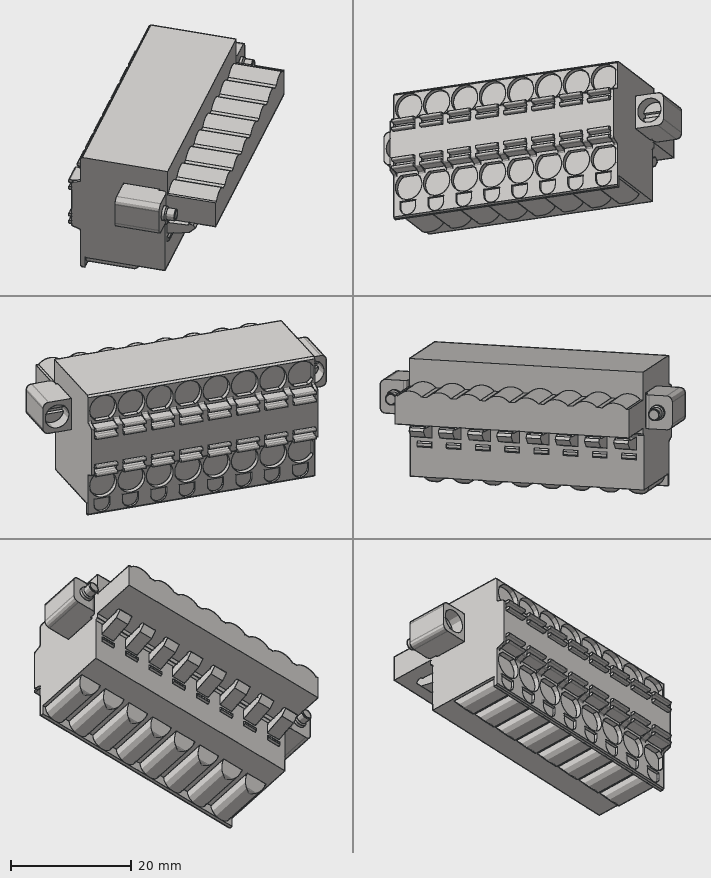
import cadquery as cq
import math

pitch = 5.08
pole_count = 8
housing_width = pole_count * pitch
housing_height = 22.1
housing_depth = 15.15
pole_centres = [(i - (pole_count - 1) / 2) * pitch for i in range(pole_count)]

top_edge_chamfer = 0.35
lip_edge_chamfer = 0.25
lip_depth = 0.77
floor_z = 2.0
lower_rear_x = 14.7
rear_step_z = 11.6
rear_step_chamfer = 0.35
panel_projection = 1.5
panel_top_z = 17.2
panel_bottom_z = 7.5
panel_slope = 0.5
panel_corner_radius = 0.25

tab_width = 3.9
tab_top_z = 16.8
tab_bottom_z = 7.95
prong_thickness = 0.6
prong_reach = 0.75
prong_tip = 0.25
groove_depth = 0.8
groove_round = 0.5
prong_pairs = (
    (tab_top_z - prong_thickness / 2, 15.1),
    (9.7, tab_bottom_z + prong_thickness / 2),
)

funnel_radius = 2.4
funnel_depth = 0.95
funnel_offset_y = -0.17
funnel_side_margin = 0.3
upper_funnel_z = 19.3
upper_funnel_flat_z = 17.25
lower_funnel_z = 5.4
lower_funnel_flat_z = 7.4
slot_radius = 1.42
slot_centre_z = 1.77
slot_top_z = 2.82
slot_depth = 0.5

rib_radius = floor_z
rib_end_x = 8.7
rib_run_out_x = 10.35
rib_nose_radius = 0.8

nose_end_x = 23.47
nose_bottom_z = 12.55
nose_top_z = 18.3
nose_scallop_rise = 0.91
nose_scallop_chord = 4.15

flange_width = pitch
flange_front_x = 7.5
flange_round = 1.0
flange_relief_x = 13.7
flange_relief_gap = 0.3
flange_inner_round = 0.7
screw_z = (nose_bottom_z + nose_top_z) / 2
screw_y = housing_width / 2 + flange_width / 2
screw_hole_radius = 2.1
screw_hole_depth = 2.3
driver_slot_width = 0.86
driver_slot_depth = 0.8
collar_radius = 1.25
collar_length = 0.75
collar_chamfer = 0.25
shank_radius = 1.0
shank_end_x = 17.4
shank_chamfer = 0.15

hook_width = 2.5
hook_root_bottom_z = 8.72
hook_root_top_z = 10.9
hook_tip_x = 19.6
hook_tip_z = 10.7
hook_tip_taper = 1.05
hook_end_bottom_z = 9.6
hook_blunting = 0.4
hook_barb_length = 1.3
hook_barb_top_z = 11.35
hook_barb_rise = 0.3
hook_barb_drop = 0.15
bump_height = 0.33
bump_bottom_z = 7.05
bump_top_z = 8.05
bump_chamfer = 0.25


def box(x0, x1, y0, y1, z0, z1):
    """Box between two opposite corners."""
    return cq.Workplane("XY").box(x1 - x0, y1 - y0, z1 - z0, centered=False).translate((x0, y0, z0))


def side_plate(points, y, width):
    """Extrude an X-Z outline over a width centred on y."""
    plate = cq.Workplane("XZ").polyline(points).close().extrude(width / 2, both=True)
    return plate.translate((0, y, 0))


def cylinder_x(radius, x0, x1, y, z):
    """Cylinder along X."""
    return cq.Workplane("YZ", origin=(x0, y, z)).circle(radius).extrude(x1 - x0)


def make_housing():
    """Housing body with the lip below and the raised panel in front."""
    outline = [
        (lip_edge_chamfer, 0),
        (lip_depth, 0),
        (lip_depth, floor_z),
        (lower_rear_x, floor_z),
        (lower_rear_x, rear_step_z - rear_step_chamfer),
        (lower_rear_x + rear_step_chamfer, rear_step_z),
        (housing_depth, rear_step_z),
        (housing_depth, housing_height),
        (top_edge_chamfer, housing_height),
        (0, housing_height - top_edge_chamfer),
        (0, panel_top_z),
        (-panel_projection, panel_top_z - panel_slope),
        (-panel_projection, panel_bottom_z + panel_slope),
        (0, panel_bottom_z),
        (0, lip_edge_chamfer),
    ]
    housing = side_plate(outline, 0, housing_width)
    corners = cq.selectors.BoxSelector(
        (-panel_projection - panel_corner_radius, -housing_width, panel_bottom_z - panel_corner_radius),
        (panel_corner_radius, housing_width, panel_top_z + panel_corner_radius),
    )
    return housing.edges("|Y").edges(corners).fillet(panel_corner_radius)


def make_tab_relief(y):
    """Spaces above and below a push tab, where the panel shoulders are cut square."""
    y0 = y - tab_width / 2
    y1 = y + tab_width / 2
    above = box(-panel_projection, 0, y0, y1, tab_top_z, panel_top_z + panel_corner_radius)
    below = box(-panel_projection, 0, y0, y1, panel_bottom_z - panel_corner_radius, tab_bottom_z)
    return above.union(below)


def make_prong(y, z):
    """Round-tipped prong as wide as the tab, rooted in the panel."""
    half = prong_thickness / 2
    tip_x = -panel_projection - prong_reach
    outline = cq.Workplane("XZ").moveTo(0, z - half).lineTo(tip_x + prong_tip, z - half)
    outline = outline.threePointArc((tip_x, z), (tip_x + prong_tip, z + half)).lineTo(0, z + half)
    return outline.close().extrude(tab_width / 2, both=True).translate((0, y, 0))


def make_prong_groove(y, upper_z, lower_z):
    """Groove between two prongs, its floor level with the lower prong and rounded up at the back."""
    top_z = upper_z - prong_thickness / 2
    bottom_z = lower_z + prong_thickness / 2
    back_x = groove_depth - panel_projection
    groove = box(-panel_projection, back_x, y - tab_width / 2, y + tab_width / 2, bottom_z, top_z)
    return groove.faces(">X").edges("<Z").fillet(groove_round)


def make_funnel(y, z, flat_z):
    """Round pocket with one flat, kept clear of the housing side walls."""
    centre_y = y + funnel_offset_y
    pocket = cylinder_x(funnel_radius, 0, funnel_depth, centre_y, z)
    side_y = housing_width / 2 - funnel_side_margin
    far_z = z + math.copysign(funnel_radius, z - flat_z)
    limits = box(0, funnel_depth, -side_y, side_y, min(flat_z, far_z), max(flat_z, far_z))
    return pocket.intersect(limits)


def make_test_slot(y):
    """Slot with a flat top and a half-round bottom."""
    round_end = cylinder_x(slot_radius, 0, slot_depth, y, slot_centre_z)
    lower_half = box(0, slot_depth, y - slot_radius, y + slot_radius, 0, slot_centre_z)
    upper = box(0, slot_depth, y - slot_radius, y + slot_radius, slot_centre_z, slot_top_z)
    return round_end.intersect(lower_half).union(upper)


def make_floor_rib(y):
    """Half-round rib with a rounded nose that slopes up into the floor."""
    bar = cylinder_x(rib_radius, lip_depth, rib_run_out_x, y, rib_radius)
    profile = [(0, 0), (rib_end_x, 0), (rib_run_out_x, floor_z), (0, floor_z)]
    envelope = side_plate(profile, y, 2 * rib_radius)
    nose_edge = cq.selectors.NearestToPointSelector((rib_end_x, y, 0))
    return bar.intersect(envelope.edges(nose_edge).fillet(rib_nose_radius))


def make_nose():
    """Plug nose with one shallow arched crest per pole."""
    valley_z = nose_top_z - nose_scallop_rise
    outline = cq.Workplane("YZ", origin=(housing_depth, 0, 0)).moveTo(-housing_width / 2, nose_bottom_z)
    outline = outline.lineTo(-housing_width / 2, valley_z)
    for y in pole_centres:
        outline = outline.lineTo(y - nose_scallop_chord / 2, valley_z)
        outline = outline.threePointArc((y, nose_top_z), (y + nose_scallop_chord / 2, valley_z))
    outline = outline.lineTo(housing_width / 2, valley_z).lineTo(housing_width / 2, nose_bottom_z)
    return outline.close().extrude(nose_end_x - housing_depth)


def make_flange():
    """Screw flange on the +Y side with its recessed screw."""
    inner_y = housing_width / 2
    outer_y = inner_y + flange_width
    relief_y = inner_y + flange_relief_gap
    block = box(flange_front_x, housing_depth, inner_y, outer_y, nose_bottom_z, nose_top_z)
    block = block.edges("|X and >Y").fillet(flange_round)
    relief = box(flange_relief_x, housing_depth, inner_y, relief_y, nose_bottom_z, nose_top_z)
    block = block.cut(relief)
    block = block.faces(">X").edges("<Y").fillet(flange_inner_round)

    head_x = flange_front_x + screw_hole_depth
    block = block.cut(cylinder_x(screw_hole_radius, flange_front_x, head_x, screw_y, screw_z))
    driver_slot = cylinder_x(screw_hole_radius, head_x, head_x + driver_slot_depth, screw_y, screw_z)
    half_slot = driver_slot_width / 2
    slot_limits = box(head_x, housing_depth, inner_y, outer_y, screw_z - half_slot, screw_z + half_slot)
    block = block.cut(driver_slot.intersect(slot_limits))

    collar = cylinder_x(collar_radius, housing_depth, housing_depth + collar_length, screw_y, screw_z)
    collar = collar.faces(">X").chamfer(collar_chamfer)
    shank = cylinder_x(shank_radius, housing_depth, shank_end_x, screw_y, screw_z)
    shank = shank.faces(">X").chamfer(shank_chamfer)
    return block.union(collar).union(shank)


def make_hook(y):
    """Tapered latch arm with a raised barb and a blunt tip."""
    barb_start_x = hook_tip_x - hook_barb_length
    outline = [
        (lower_rear_x, hook_root_bottom_z),
        (hook_tip_x - hook_tip_taper, hook_end_bottom_z),
        (hook_tip_x, hook_tip_z),
        (hook_tip_x - hook_blunting, hook_barb_top_z - hook_barb_drop),
        (hook_tip_x - hook_tip_taper, hook_barb_top_z),
        (barb_start_x, hook_barb_top_z - hook_barb_rise),
        (lower_rear_x, hook_root_top_z),
    ]
    return side_plate(outline, y, hook_width)


def make_bump(y):
    """Low bump with sloping top and bottom edges."""
    outline = [
        (lower_rear_x, bump_bottom_z),
        (lower_rear_x + bump_height, bump_bottom_z + bump_chamfer),
        (lower_rear_x + bump_height, bump_top_z - bump_chamfer),
        (lower_rear_x, bump_top_z),
    ]
    return side_plate(outline, y, hook_width)


result = make_housing().union(make_nose())

flange = make_flange()
result = result.union(flange).union(flange.mirror("XZ"))

for pole_y in pole_centres:
    result = result.cut(make_tab_relief(pole_y))
    for upper_prong_z, lower_prong_z in prong_pairs:
        result = result.cut(make_prong_groove(pole_y, upper_prong_z, lower_prong_z))
        result = result.union(make_prong(pole_y, upper_prong_z))
        result = result.union(make_prong(pole_y, lower_prong_z))
    result = result.union(make_floor_rib(pole_y))
    result = result.union(make_hook(pole_y)).union(make_bump(pole_y))
    result = result.cut(make_funnel(pole_y, upper_funnel_z, upper_funnel_flat_z))
    result = result.cut(make_funnel(pole_y, lower_funnel_z, lower_funnel_flat_z))
    result = result.cut(make_test_slot(pole_y))